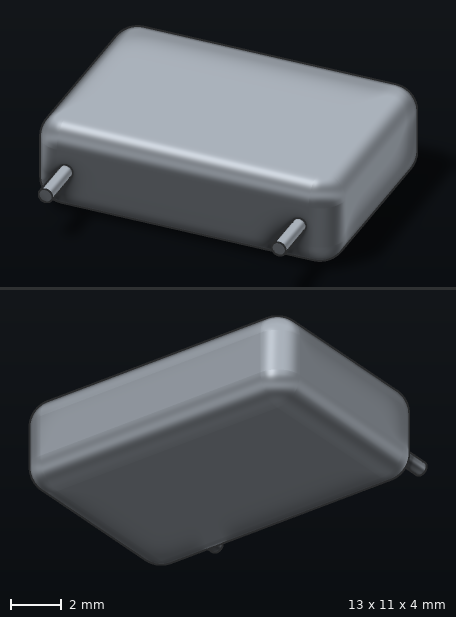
import cadquery as cq

case_width = 13.0
case_depth = 9.0
case_height = 4.0
edge_radius = 1.1

lead_diameter = 0.6
lead_length = 2.0
lead_pitch = 10.0

front_face_y = -case_depth / 2


def make_case():
    """Block with every edge rounded by the same radius."""
    return cq.Workplane("XY").box(case_width, case_depth, case_height).edges().fillet(edge_radius)


def make_lead(x):
    """Round wire that starts on the front face of the case and runs toward -Y."""
    return (
        cq.Workplane("XZ", origin=(x, front_face_y, 0))
        .circle(lead_diameter / 2)
        .extrude(lead_length)
    )


case = make_case()
leads = [make_lead(side * lead_pitch / 2) for side in (-1, 1)]

result = cq.Compound.makeCompound([case.val(), *[lead.val() for lead in leads]])